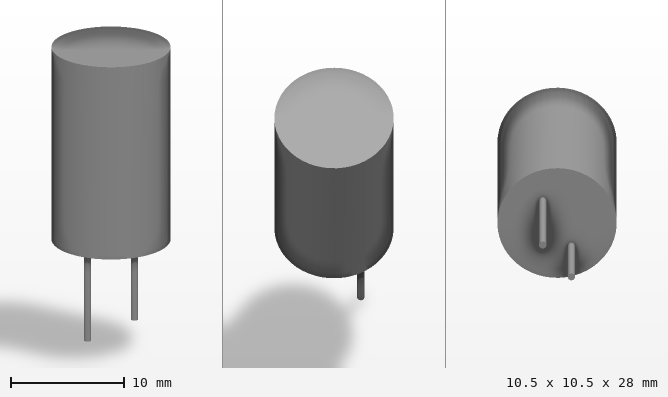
import cadquery as cq

total_height = 28.0
can_diameter = 10.5
long_lead_length = 10.0
short_lead_length = 7.0
lead_diameter = 0.65
lead_spacing = 5.0

can_height = total_height - long_lead_length


def make_can():
    """Cylindrical can standing on the XY plane, centred on the Z axis."""
    return cq.Workplane("XY").circle(can_diameter / 2).extrude(can_height)


def make_lead(x_position, length):
    """Straight round lead hanging down from the flat base of the can."""
    return (
        cq.Workplane("XY")
        .center(x_position, 0)
        .circle(lead_diameter / 2)
        .extrude(-length)
    )


can = make_can()

lead_layout = [
    (-lead_spacing / 2, long_lead_length),
    (lead_spacing / 2, short_lead_length),
]
leads = [make_lead(x_position, length) for x_position, length in lead_layout]

result = cq.Compound.makeCompound([can.val(), *[lead.val() for lead in leads]])